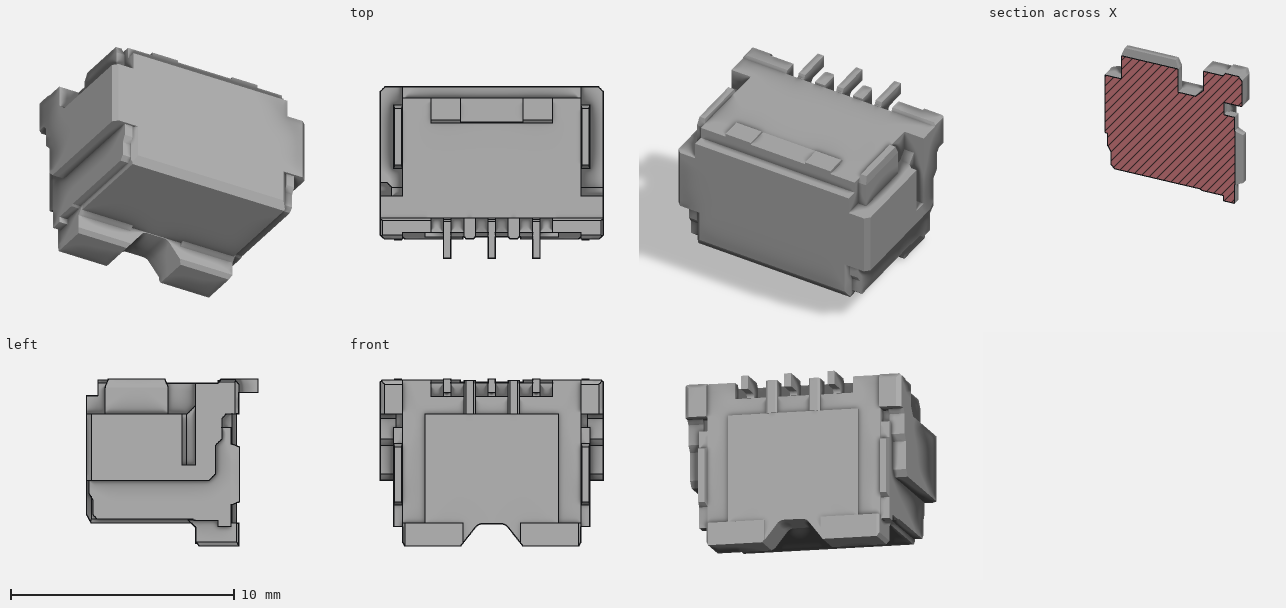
import cadquery as cq
import math


TOTAL_HEIGHT = 7.5
ROOF_Z = 7.31
STRIP_Z = 7.46
WING_TOP_Z = 5.93
WING_BOTTOM_Z = 2.95
BODY_BOTTOM_Z = 1.03

FOOT_REAR_Y = -4.9
RECESS_Y = -5.9
WALL_Y = -6.54
PANEL_Y = -6.74
SHOULDER_Y = -6.84
PIN_TIP_Y = -7.7

WING_X = 5.0
PLATE_X = 4.4
BODY_X = 4.0
PANEL_X = 3.0
NOTCH_X = 2.73

LEDGE_DEPTH = 0.51
LEDGE_Z = 6.75
REAR_CORNER = 0.22
BOTTOM_REAR_RISE = 0.39
BOTTOM_SIDE_CHAMFER = (0.07, 0.18)

WING_RAMP = 0.38
WING_STEP_CHAMFER = 0.29
WING_STEP_Z = 4.52
WING_STEP_Y = -5.79
WING_FRONT_Y = -6.08
SHOULDER_UNDERCUT = 0.2
SHOULDER_SLOT_X = 4.3
SHOULDER_SLOT_REAR_Y = -5.95

STRIP_RAMP = 0.1
STRIP_SIDE_CHAMFER = 0.1
SHOULDER_SIDE_CHAMFER = 0.2
SHOULDER_FRONT_CHAMFER = 0.18
SHOULDER_TOP_CHAMFER = 0.21

GROOVE_DEPTH = 0.5
GROOVE_REAR_Y = -4.29
GROOVE_BOTTOM_Z = 3.64
GROOVE_CORNER = 0.21

PLATE_FRONT_Y = -6.48
PLATE_TOP_Z = 5.32
PLATE_REAR_Y = -0.11
PLATE_JOG_Y = -0.29
PLATE_JOG_TOP_Z = 2.37
PLATE_JOG_BOTTOM_Z = 2.07
PLATE_CORNER = 0.2
PLATE_BOTTOM_Z = 1.21
PLATE_DROP_Y = -4.73
PLATE_DROP_RUN = 0.12
PLATE_LOWER_Z = 1.15
PLATE_TOE_Z = 0.88
PLATE_TOE_Y = -5.9

TAB_HEIGHT = 0.39
TAB_END_TAPER = 0.15
TAB_SIDE_TAPER = 0.05
TOP_TAB_REAR_Y = -0.83
TOP_TAB_FRONT_Y = -3.67
FRONT_TAB_TOP_Z = 4.6
FRONT_TAB_BOTTOM_Z = 1.84

PAD_FRONT_Y = -1.64
PAD_SLOPE = 0.15
PAD_MIDDLE_X = 1.41
PAD_MIDDLE_Z = 7.36

FOOT_INNER_X = 1.3
FOOT_SIDE_CHAMFER = 0.1
FOOT_BOTTOM_CHAMFER = 0.19
FOOT_REAR_CHAMFER = 0.17
FOOT_GUSSET = 0.35
FOOT_TOP_Z = 1.18
ARCH_BOTTOM_X = 1.4
ARCH_TOP_X = 0.61
ARCH_TOP_Z = 1.0
ARCH_RADIUS = 0.4

NOTCH_FLOOR_Z = 6.71
PIN_PITCH = 2.0
PIN_WIDTH = 0.33
PIN_BOTTOM_Z = 6.89
PIN_ROOT_FRONT_Y = -6.6
PIN_ROOT_TOP_Z = 7.33
PIN_ROOT_LENGTH = 0.06
PIN_RISE_LENGTH = 0.08
RIB_PITCH = 1.97
RIB_WIDTH = 0.51
RIB_TOP_Z = 7.43
RIB_FRONT_Y = -6.82
RIB_CHAMFER = 0.09


def block(x_range, y_range, z_range):
    """Axis-aligned box between the given limits."""
    size = [high - low for low, high in (x_range, y_range, z_range)]
    corner = (x_range[0], y_range[0], z_range[0])
    return cq.Workplane("XY").box(*size, centered=False).translate(corner)


def side_prism(points, x_low, x_high):
    """Prism along X from an outline of (y, z) points."""
    return cq.Workplane("YZ", origin=(x_low, 0, 0)).polyline(points).close().extrude(x_high - x_low)


def front_prism(points, y_front, y_rear):
    """Prism along Y from an outline of (x, z) points."""
    return cq.Workplane("XZ", origin=(0, y_rear, 0)).polyline(points).close().extrude(y_rear - y_front)


def plan_prism(points, z_low, z_high):
    """Prism along Z from an outline of (x, y) points."""
    return cq.Workplane("XY", origin=(0, 0, z_low)).polyline(points).close().extrude(z_high - z_low)


def both_sides(shape):
    return shape.union(shape.mirror("YZ"))


def make_body():
    profile = [
        (0, LEDGE_Z),
        (-LEDGE_DEPTH, LEDGE_Z),
        (-LEDGE_DEPTH, ROOF_Z),
        (WALL_Y, ROOF_Z),
        (WALL_Y, BODY_BOTTOM_Z),
        (-REAR_CORNER, BODY_BOTTOM_Z),
        (0, BODY_BOTTOM_Z + BOTTOM_REAR_RISE),
    ]
    body = side_prism(profile, -BODY_X, BODY_X)
    corner = plan_prism(
        [(BODY_X, 0), (BODY_X, -REAR_CORNER), (BODY_X - REAR_CORNER, 0)], BODY_BOTTOM_Z, WING_BOTTOM_Z
    )
    across, up = BOTTOM_SIDE_CHAMFER
    bottom_edge = front_prism(
        [(BODY_X, BODY_BOTTOM_Z), (BODY_X, BODY_BOTTOM_Z + up), (BODY_X - across, BODY_BOTTOM_Z)],
        FOOT_REAR_Y,
        0,
    )
    return body.cut(both_sides(corner)).cut(both_sides(bottom_edge))


def make_wing():
    """Right-hand wing with its upright arm and front shoulder, slotted above the plate."""
    step = WING_STEP_CHAMFER
    profile = [
        (0, WING_TOP_Z),
        (FOOT_REAR_Y + WING_RAMP, WING_TOP_Z),
        (FOOT_REAR_Y, WING_TOP_Z + WING_RAMP),
        (FOOT_REAR_Y, ROOF_Z),
        (SHOULDER_Y, ROOF_Z),
        (SHOULDER_Y, WING_TOP_Z),
        (WING_FRONT_Y - SHOULDER_UNDERCUT, WING_TOP_Z),
        (WING_FRONT_Y, WING_TOP_Z - SHOULDER_UNDERCUT),
        (WING_FRONT_Y, WING_STEP_Z + step),
        (WING_STEP_Y, WING_STEP_Z),
        (WING_STEP_Y, WING_BOTTOM_Z + step),
        (WING_STEP_Y + step, WING_BOTTOM_Z),
        (0, WING_BOTTOM_Z),
    ]
    wing = side_prism(profile, BODY_X, WING_X)
    rear_corner = plan_prism(
        [(WING_X, 0), (WING_X, -REAR_CORNER), (WING_X - REAR_CORNER, 0)], WING_BOTTOM_Z, WING_TOP_Z
    )
    slot = block(
        (BODY_X, SHOULDER_SLOT_X),
        (WING_FRONT_Y - SHOULDER_UNDERCUT, SHOULDER_SLOT_REAR_Y),
        (PLATE_TOP_Z, WING_TOP_Z),
    )
    return wing.cut(rear_corner).cut(slot)


def make_strip():
    """Raised strip along the front edge of the roof, ramped at its rear edge."""
    profile = [
        (RECESS_Y, ROOF_Z),
        (RECESS_Y - STRIP_RAMP, STRIP_Z),
        (SHOULDER_Y, STRIP_Z),
        (SHOULDER_Y, ROOF_Z),
    ]
    strip = side_prism(profile, -WING_X, WING_X)
    return strip.cut(block((-BODY_X, BODY_X), (SHOULDER_Y, WALL_Y), (ROOF_Z, STRIP_Z)))


def shoulder_bevels():
    """Material removed from the right-hand shoulder edges."""
    top_side = front_prism(
        [(WING_X, STRIP_Z), (WING_X, STRIP_Z - STRIP_SIDE_CHAMFER), (WING_X - STRIP_SIDE_CHAMFER, STRIP_Z)],
        SHOULDER_Y,
        RECESS_Y,
    )
    front_top = side_prism(
        [
            (SHOULDER_Y, STRIP_Z),
            (SHOULDER_Y + SHOULDER_FRONT_CHAMFER, STRIP_Z),
            (SHOULDER_Y, STRIP_Z - SHOULDER_TOP_CHAMFER),
        ],
        BODY_X,
        WING_X,
    )
    front_side = plan_prism(
        [
            (WING_X, SHOULDER_Y),
            (WING_X, SHOULDER_Y + SHOULDER_FRONT_CHAMFER),
            (WING_X - SHOULDER_SIDE_CHAMFER, SHOULDER_Y),
        ],
        WING_TOP_Z,
        STRIP_Z,
    )
    return top_side.union(front_top).union(front_side)


def wing_groove():
    """Groove sunk into the left wing behind its upright arm."""
    inner_x = -WING_X + GROOVE_DEPTH
    outline = [
        (-WING_X, GROOVE_REAR_Y),
        (inner_x - GROOVE_CORNER, GROOVE_REAR_Y),
        (inner_x, GROOVE_REAR_Y - GROOVE_CORNER),
        (inner_x, FOOT_REAR_Y),
        (-WING_X, FOOT_REAR_Y),
    ]
    return plan_prism(outline, GROOVE_BOTTOM_Z, ROOF_Z)


def make_side_plate():
    """Right-hand plate lying against the body, with a toe at its lower front."""
    inside_wing_y = WING_STEP_Y + WING_STEP_CHAMFER
    profile = [
        (PLATE_REAR_Y, WING_BOTTOM_Z),
        (PLATE_REAR_Y, PLATE_JOG_TOP_Z),
        (PLATE_JOG_Y, PLATE_JOG_BOTTOM_Z),
        (PLATE_JOG_Y, PLATE_BOTTOM_Z + PLATE_CORNER),
        (PLATE_JOG_Y - PLATE_CORNER, PLATE_BOTTOM_Z),
        (PLATE_DROP_Y, PLATE_BOTTOM_Z),
        (PLATE_DROP_Y - PLATE_DROP_RUN, PLATE_LOWER_Z),
        (PLATE_TOE_Y, PLATE_LOWER_Z),
        (PLATE_TOE_Y, PLATE_TOE_Z),
        (PLATE_FRONT_Y, PLATE_TOE_Z),
        (PLATE_FRONT_Y, PLATE_TOP_Z),
        (WING_FRONT_Y, PLATE_TOP_Z),
        (WING_FRONT_Y, WING_STEP_Z + WING_STEP_CHAMFER),
        (inside_wing_y, WING_STEP_Z + WING_STEP_CHAMFER),
        (inside_wing_y, WING_BOTTOM_Z),
    ]
    return side_prism(profile, BODY_X, PLATE_X)


def make_tab_tip(base_plane, length):
    """Tab tip tapering on all four sides, drawn on its base rectangle."""
    width = PLATE_X - BODY_X
    return (
        base_plane.rect(width, length)
        .workplane(offset=TAB_HEIGHT)
        .rect(width - 2 * TAB_SIDE_TAPER, length - 2 * TAB_END_TAPER)
        .loft()
    )


def make_tabs():
    """Right-hand tabs: one standing on the wing, one on the front edge of the plate."""
    middle_x = (BODY_X + PLATE_X) / 2
    top_base_z = TOTAL_HEIGHT - TAB_HEIGHT
    top_middle_y = (TOP_TAB_REAR_Y + TOP_TAB_FRONT_Y) / 2
    front_middle_z = (FRONT_TAB_TOP_Z + FRONT_TAB_BOTTOM_Z) / 2
    stem = block((BODY_X, PLATE_X), (TOP_TAB_FRONT_Y, TOP_TAB_REAR_Y), (WING_TOP_Z, top_base_z))
    top_tip = make_tab_tip(
        cq.Workplane("XY", origin=(middle_x, top_middle_y, top_base_z)), TOP_TAB_REAR_Y - TOP_TAB_FRONT_Y
    )
    front_tip = make_tab_tip(
        cq.Workplane("XZ", origin=(middle_x, PLATE_FRONT_Y, front_middle_z)),
        FRONT_TAB_TOP_Z - FRONT_TAB_BOTTOM_Z,
    )
    return stem.union(top_tip).union(front_tip)


def make_roof_pads():
    """Pad at the rear of the roof, sloped at its front and lower in the middle."""
    profile = [
        (-LEDGE_DEPTH, ROOF_Z),
        (-LEDGE_DEPTH, STRIP_Z),
        (PAD_FRONT_Y + PAD_SLOPE, STRIP_Z),
        (PAD_FRONT_Y, ROOF_Z),
    ]
    pad = side_prism(profile, -NOTCH_X, NOTCH_X)
    middle = block((-PAD_MIDDLE_X, PAD_MIDDLE_X), (PAD_FRONT_Y, 0), (PAD_MIDDLE_Z, STRIP_Z))
    return pad.cut(middle)


def make_foot():
    """Right-hand foot with a sloped gusset under the body and a front pad."""
    profile = [
        (FOOT_REAR_Y + FOOT_GUSSET, FOOT_TOP_Z),
        (FOOT_REAR_Y, FOOT_TOP_Z - FOOT_GUSSET),
        (FOOT_REAR_Y, FOOT_BOTTOM_CHAMFER),
        (FOOT_REAR_Y - FOOT_REAR_CHAMFER, 0),
        (SHOULDER_Y, 0),
        (SHOULDER_Y, BODY_BOTTOM_Z),
        (WALL_Y, BODY_BOTTOM_Z),
        (WALL_Y, FOOT_TOP_Z),
    ]
    foot = side_prism(profile, FOOT_INNER_X, BODY_X)
    inner_x = BODY_X - FOOT_SIDE_CHAMFER
    bottom_edge = front_prism(
        [(BODY_X, 0), (BODY_X, FOOT_BOTTOM_CHAMFER), (inner_x, 0)], SHOULDER_Y, FOOT_REAR_Y
    )
    front_edge = plan_prism(
        [(BODY_X, SHOULDER_Y), (BODY_X, PANEL_Y), (inner_x, SHOULDER_Y)], 0, BODY_BOTTOM_Z
    )
    return foot.cut(bottom_edge).cut(front_edge)


def make_panel():
    """Raised front panel and the web that joins the feet below it."""
    panel = block((-PANEL_X, PANEL_X), (PANEL_Y, WALL_Y), (BODY_BOTTOM_Z, WING_TOP_Z))
    web = block((-FOOT_INNER_X, FOOT_INNER_X), (PANEL_Y, FOOT_REAR_Y), (0, BODY_BOTTOM_Z))
    return panel.union(web)


def arch_opening():
    """Sloped opening between the feet, rounded at its upper corners."""
    outline = [(-ARCH_BOTTOM_X, 0), (-ARCH_TOP_X, ARCH_TOP_Z), (ARCH_TOP_X, ARCH_TOP_Z), (ARCH_BOTTOM_X, 0)]
    opening = front_prism(outline, SHOULDER_Y, FOOT_REAR_Y + FOOT_GUSSET)
    return opening.edges("|Y and >Z").fillet(ARCH_RADIUS)


def pin_notch():
    return block((-NOTCH_X, NOTCH_X), (SHOULDER_Y, RECESS_Y), (NOTCH_FLOOR_Z, STRIP_Z))


def make_pin(middle_x):
    """Pin stepping up from a low root on the notch floor to a straight forward tail."""
    inner_bend = PIN_BOTTOM_Z - NOTCH_FLOOR_Z
    diagonal = math.sqrt(0.5)
    rise_y = RECESS_Y - PIN_ROOT_LENGTH
    inner_mid = (
        PIN_ROOT_FRONT_Y - inner_bend * (1 - diagonal),
        NOTCH_FLOOR_Z + inner_bend * diagonal,
    )
    return (
        cq.Workplane("YZ", origin=(middle_x, 0, 0))
        .moveTo(RECESS_Y, NOTCH_FLOOR_Z)
        .lineTo(RECESS_Y, PIN_ROOT_TOP_Z)
        .lineTo(rise_y, PIN_ROOT_TOP_Z)
        .lineTo(rise_y - PIN_RISE_LENGTH, TOTAL_HEIGHT)
        .lineTo(PIN_TIP_Y, TOTAL_HEIGHT)
        .lineTo(PIN_TIP_Y, PIN_BOTTOM_Z)
        .lineTo(PIN_ROOT_FRONT_Y - inner_bend, PIN_BOTTOM_Z)
        .threePointArc(inner_mid, (PIN_ROOT_FRONT_Y, NOTCH_FLOOR_Z))
        .close()
        .extrude(PIN_WIDTH / 2, both=True)
    )


def make_rib(middle_x):
    """Upright rib between two pins, bevelled along its front edges."""
    x_range = (middle_x - RIB_WIDTH / 2, middle_x + RIB_WIDTH / 2)
    rib = block(x_range, (RIB_FRONT_Y, RECESS_Y), (WING_TOP_Z, RIB_TOP_Z))
    return rib.edges("|Z and <Y").chamfer(RIB_CHAMFER)


result = make_body().union(both_sides(make_wing())).union(make_strip())
result = result.cut(both_sides(shoulder_bevels())).cut(wing_groove()).cut(pin_notch())
for side_feature in (make_side_plate(), make_tabs(), make_foot()):
    result = result.union(both_sides(side_feature))
result = result.union(make_panel()).union(make_roof_pads()).cut(arch_opening())
for pin_index in (-1, 0, 1):
    result = result.union(make_pin(pin_index * PIN_PITCH))
for rib_side in (-1, 1):
    result = result.union(make_rib(rib_side * RIB_PITCH / 2))